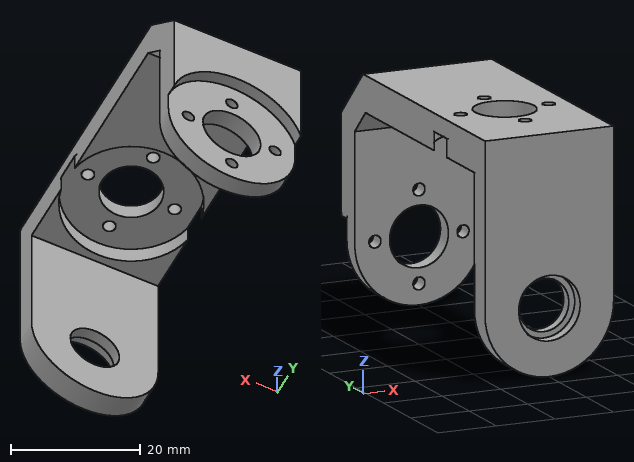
import cadquery as cq

width = 22.0
length = 53.0
tab_radius = width / 2
pivot_depth = 28.0

top_thickness = 6.0
front_thickness = 4.0
rear_thickness = 5.0
outer_chamfer = 8.0
inner_chamfer = 4.0
rear_inner_y = length - rear_thickness

rear_recess_depth = 2.0
rear_recess_radius = 11.5

pattern_y = 16.5
top_recess_radius = 11.25
top_recess_depth = 3.0

center_hole_diameter = 10.0
screw_hole_diameter = 2.0
screw_circle_radius = 7.5
screw_count = 4

bore_diameter = 8.5
counterbore_diameter = 10.5
counterbore_depth = 2.0


def cylinder_y(diameter, start_y, depth):
    """Cylinder on the pivot axis, running toward +Y from start_y."""
    plane = cq.Plane(origin=(0, start_y, -pivot_depth), xDir=(1, 0, 0), normal=(0, 1, 0))
    return cq.Workplane(plane).circle(diameter / 2).extrude(depth)


def hole_pattern(plane, depth):
    """Cutter for a central hole surrounded by screw holes."""
    center = cq.Workplane(plane).circle(center_hole_diameter / 2).extrude(depth)
    screws = (
        cq.Workplane(plane)
        .polarArray(screw_circle_radius, 0, 360, screw_count)
        .circle(screw_hole_diameter / 2)
        .extrude(depth)
    )
    return center.union(screws)


def bracket_body():
    """Bent U profile across the width, with a round end on each arm."""
    profile = [
        (0, -pivot_depth),
        (0, 0),
        (length - outer_chamfer, 0),
        (length, -outer_chamfer),
        (length, -pivot_depth),
        (rear_inner_y, -pivot_depth),
        (rear_inner_y, -top_thickness - inner_chamfer),
        (rear_inner_y - inner_chamfer, -top_thickness),
        (front_thickness, -top_thickness),
        (front_thickness, -pivot_depth),
    ]
    frame = cq.Workplane("YZ").polyline(profile).close().extrude(width / 2, both=True)
    front_end = cylinder_y(2 * tab_radius, 0, front_thickness)
    rear_end = cylinder_y(2 * tab_radius, rear_inner_y, rear_thickness)
    return frame.union(front_end).union(rear_end)


body = bracket_body()

body = body.cut(cylinder_y(2 * rear_recess_radius, length - rear_recess_depth, rear_recess_depth))
rear_plane = cq.Plane(origin=(0, rear_inner_y, -pivot_depth), xDir=(1, 0, 0), normal=(0, 1, 0))
body = body.cut(hole_pattern(rear_plane, rear_thickness))

underside = cq.Workplane("XY", origin=(0, pattern_y, -top_thickness))
body = body.cut(underside.circle(top_recess_radius).extrude(top_recess_depth))
top_plane = cq.Plane(origin=(0, pattern_y, 0), xDir=(1, 0, 0), normal=(0, 0, -1))
body = body.cut(hole_pattern(top_plane, top_thickness))

body = body.cut(cylinder_y(bore_diameter, 0, front_thickness))
body = body.cut(cylinder_y(counterbore_diameter, 0, counterbore_depth))

height = pivot_depth + tab_radius
result = body.translate((0, -length / 2, height / 2))